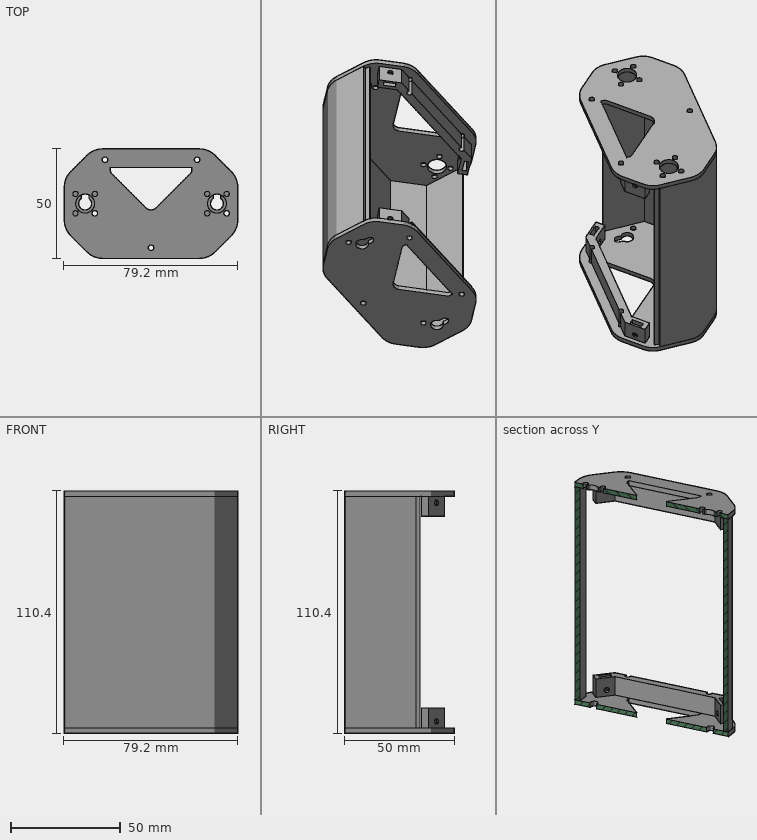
import cadquery as cq
import math

width = 79.2
depth = 50.0
height = 110.4

corner_cut = 13.4
outline_radius = 10.0

plate_thickness = 2.4
screw_diameter = 2.4
back_screw_x = 21.0
back_screw_y = 20.0
front_screw_y = -20.1

window_back_y = 16.5
window_half_width = 18.5
window_tip_y = -4.2
window_side_radius = 2.2
window_tip_radius = 3.3

port_x = 30.0
port_diameter = 8.6
port_screw_offset = 4.4
keyhole_diameter = 5.7
keyhole_slot_width = 3.3
keyhole_slot_length = 4.4

wall = 2.8
shell_back_y = 7.4
lip_inset = 1.7
lip_back_y = 9.4

bracket_height = 9.2
bracket_back_y = 20.5
leg_length = 10.4
leg_thickness = 4.5
leg_inset = 1.9
leg_screw_from_plate = 3.0
nut_slot_width = 5.5
nut_slot_thickness = 2.0
nut_slot_cover = 0.9

inner_height = height - 2 * plate_thickness
flat_offset = width / 2 + depth / 2 - corner_cut
leg_face_offset = flat_offset - leg_inset * math.sqrt(2)
sides = (-1, 1)
ports = [(side * port_x, 0) for side in sides]
back_screws = [(side * back_screw_x, back_screw_y) for side in sides]


def octagon_prism(inset, z_bottom, length):
    """Sharp-cornered octagonal prism, its outline moved inwards by inset."""
    cut = corner_cut - (2 - math.sqrt(2)) * inset
    return (
        cq.Workplane("XY", origin=(0, 0, z_bottom))
        .rect(width - 2 * inset, depth - 2 * inset)
        .extrude(length)
        .edges("|Z")
        .chamfer(cut)
    )


def outline_prism(inset, z_bottom, length):
    """Octagonal prism with rounded corners that stay concentric with the outer ones."""
    return octagon_prism(inset, z_bottom, length).edges("|Z").fillet(outline_radius - inset)


def drill(diameter, points, z_bottom, length):
    """Upright cylinders to cut away at the given points."""
    return (
        cq.Workplane("XY", origin=(0, 0, z_bottom))
        .pushPoints(points)
        .circle(diameter / 2)
        .extrude(length)
    )


def window_cutter(z_bottom):
    """Triangular prism with rounded tip and rounded side corners."""
    side_corner_y = window_tip_y + window_half_width
    return (
        cq.Workplane("XY", origin=(0, 0, z_bottom))
        .polyline([
            (-window_half_width, window_back_y),
            (window_half_width, window_back_y),
            (window_half_width, side_corner_y),
            (0, window_tip_y),
            (-window_half_width, side_corner_y),
        ])
        .close()
        .extrude(plate_thickness)
        .edges("|Z")
        .edges(">>Y[-2]")
        .fillet(window_side_radius)
        .edges("|Z")
        .edges("<Y")
        .fillet(window_tip_radius)
    )


def plate_blank(z_bottom):
    """Plate with the features common to both ends: window and three screw holes."""
    screws = back_screws + [(0, front_screw_y)]
    return (
        outline_prism(0, z_bottom, plate_thickness)
        .cut(window_cutter(z_bottom))
        .cut(drill(screw_diameter, screws, z_bottom, plate_thickness))
    )


def make_top_plate():
    """Plate with two round ports, each with four small screw holes around it."""
    z_bottom = height - plate_thickness
    screws = [
        (x + x_side * port_screw_offset, y + y_side * port_screw_offset)
        for x, y in ports
        for x_side in sides
        for y_side in sides
    ]
    return (
        plate_blank(z_bottom)
        .cut(drill(port_diameter, ports, z_bottom, plate_thickness))
        .cut(drill(screw_diameter, screws, z_bottom, plate_thickness))
    )


def make_bottom_plate():
    """Plate with a keyhole below each port and one screw hole beside each keyhole."""
    slot_centers = [(x, y + keyhole_slot_length / 2) for x, y in ports]
    slot_ends = [(x, y + keyhole_slot_length) for x, y in ports]
    slots = (
        cq.Workplane("XY")
        .pushPoints(slot_centers)
        .rect(keyhole_slot_width, keyhole_slot_length)
        .extrude(plate_thickness)
    )
    screws = [(x + port_screw_offset, y - port_screw_offset) for x, y in ports]
    return (
        plate_blank(0)
        .cut(drill(keyhole_diameter, ports, 0, plate_thickness))
        .cut(slots)
        .cut(drill(keyhole_slot_width, slot_ends, 0, plate_thickness))
        .cut(drill(screw_diameter, screws, 0, plate_thickness))
    )


def front_block(back_y):
    """Block filling the space between the plates from the front up to back_y."""
    length = back_y + depth / 2
    return (
        cq.Workplane("XY", origin=(0, back_y - length / 2, plate_thickness))
        .rect(width, length)
        .extrude(inner_height)
    )


def make_shell():
    """Wall around the front and both ends, open at the back, with a lip on its rear edges."""
    outer = outline_prism(0, plate_thickness, inner_height).intersect(front_block(shell_back_y))
    lip = outline_prism(lip_inset, plate_thickness, inner_height).intersect(front_block(lip_back_y))
    cavity = octagon_prism(wall, plate_thickness, inner_height)
    return outer.union(lip).cut(cavity)


def leg_plane(side):
    """Plane at the middle of a leg's outer face, its X pointing out of that face."""
    half_run = leg_length / 2 / math.sqrt(2)
    middle_y = bracket_back_y - half_run
    middle_x = leg_face_offset - middle_y
    return cq.Plane(
        origin=(side * middle_x, middle_y, plate_thickness),
        xDir=(side, 1, 0),
        normal=(0, 0, 1),
    )


def make_leg(plane):
    """Upright block behind one rear flat."""
    return (
        cq.Workplane(plane)
        .center(-leg_thickness / 2, 0)
        .rect(leg_thickness, leg_length)
        .extrude(bracket_height)
    )


def leg_cutter(plane):
    """Screw hole through a leg and the nut slot that crosses it."""
    hole = (
        cq.Workplane(plane)
        .transformed(offset=(0, 0, leg_screw_from_plate), rotate=(0, 90, 0))
        .circle(screw_diameter / 2)
        .extrude(-leg_thickness)
    )
    nut_slot = (
        cq.Workplane(plane)
        .center(-nut_slot_cover - nut_slot_thickness / 2, 0)
        .rect(nut_slot_thickness, nut_slot_width)
        .extrude(bracket_height)
    )
    return hole.union(nut_slot)


def make_bracket():
    """Bracket on the bottom plate: a bar behind the window with a slanted leg at each end."""
    bar_half_width = leg_face_offset - bracket_back_y
    bar_center_y = (bracket_back_y + window_back_y) / 2
    bracket = (
        cq.Workplane("XY", origin=(0, bar_center_y, plate_thickness))
        .rect(2 * bar_half_width, bracket_back_y - window_back_y)
        .extrude(bracket_height)
    )
    leg_planes = [leg_plane(side) for side in sides]
    for plane in leg_planes:
        bracket = bracket.union(make_leg(plane))
    for plane in leg_planes:
        bracket = bracket.cut(leg_cutter(plane))
    return bracket.cut(drill(screw_diameter, back_screws, plate_thickness, bracket_height))


bottom_plate = make_bottom_plate()
top_plate = make_top_plate()
shell = make_shell()
lower_bracket = make_bracket()
upper_bracket = lower_bracket.mirror("XY", (0, 0, height / 2))
brackets = [lower_bracket, upper_bracket]

result = cq.Compound.makeCompound([
    bottom_plate.val(),
    top_plate.val(),
    shell.val(),
    *[bracket.val() for bracket in brackets],
])